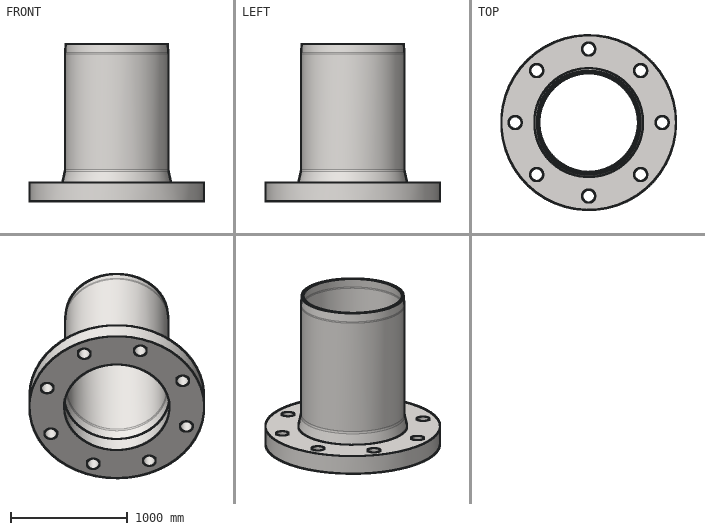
import cadquery as cq
import math

FLANGE_DIAMETER = 1500.0
FLANGE_THICKNESS = 162.0
BOLT_HOLE_DIAMETER = 110.0
BOLT_CIRCLE_DIAMETER = 1260.0
BOLT_COUNT = 8

TOTAL_HEIGHT = 1350.0
TUBE_OUTER_DIAMETER = 890.0
TUBE_INNER_DIAMETER = 858.0
FOOT_INNER_DIAMETER = 903.0
LIP_INNER_DIAMETER = 845.0
FOOT_CORNER_Z = 264.0
LIP_CORNER_DROP = 81.0
FOOT_BEND_REACH = 10.0
LIP_BEND_REACH = 6.0

WALL = (TUBE_OUTER_DIAMETER - TUBE_INNER_DIAMETER) / 2


def toward(start, end, distance):
    """Point at a distance from start on the line to end."""
    ratio = distance / math.dist(start, end)
    return (start[0] + ratio * (end[0] - start[0]), start[1] + ratio * (end[1] - start[1]))


def draw_wall_side(sketch, corners, reaches):
    """Continue a sketch through corners, rounding each inner corner with a tangent arc."""
    for before, corner, after, reach in zip(corners, corners[1:], corners[2:], reaches):
        bend_start = toward(corner, before, reach)
        bend_end = toward(corner, after, reach)
        sketch = sketch.lineTo(*bend_start).tangentArcPoint(bend_end, relative=False)
    return sketch.lineTo(*corners[-1])


def make_flange():
    """Bolted ring whose bore is flush with the inside of the sleeve foot."""
    ring = cq.Workplane("XY").circle(FLANGE_DIAMETER / 2).circle(FOOT_INNER_DIAMETER / 2)
    bolt_holes = (
        cq.Workplane("XY")
        .polarArray(BOLT_CIRCLE_DIAMETER / 2, 0, 360, BOLT_COUNT)
        .circle(BOLT_HOLE_DIAMETER / 2)
        .extrude(FLANGE_THICKNESS)
    )
    return ring.extrude(FLANGE_THICKNESS).cut(bolt_holes)


def make_sleeve():
    """Thin-walled sleeve standing on the flange, revolved from its wall section."""
    inner_side = [
        (FOOT_INNER_DIAMETER / 2, FLANGE_THICKNESS),
        (TUBE_INNER_DIAMETER / 2, FOOT_CORNER_Z),
        (TUBE_INNER_DIAMETER / 2, TOTAL_HEIGHT - LIP_CORNER_DROP),
        (LIP_INNER_DIAMETER / 2, TOTAL_HEIGHT),
    ]
    outer_side = [(radius + WALL, z) for radius, z in inner_side]

    section = cq.Workplane("XZ").moveTo(*outer_side[0])
    section = draw_wall_side(section, outer_side, [FOOT_BEND_REACH, LIP_BEND_REACH])
    section = section.lineTo(*inner_side[-1])
    section = draw_wall_side(section, inner_side[::-1], [LIP_BEND_REACH, FOOT_BEND_REACH])
    return section.close().revolve(360, (0, 0, 0), (0, 1, 0))


flange = make_flange()
sleeve = make_sleeve()

result = cq.Compound.makeCompound([flange.val(), sleeve.val()])